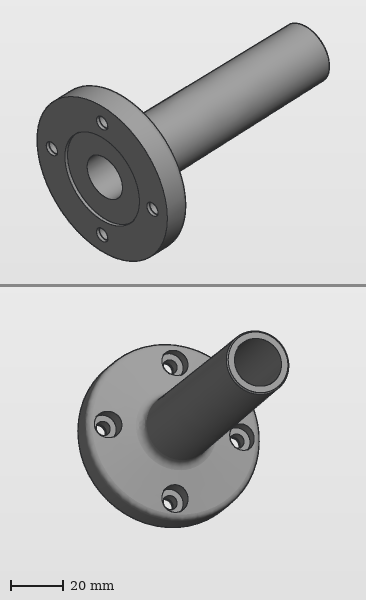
import cadquery as cq
import math

length = 111.5
flange_diameter = 70.0

rim_height = 9.0
rim_fillet = 2.5
cone_angle = 10.0

tube_base_diameter = 26.5
tube_tip_diameter = 25.2
root_fillet = 3.7
tip_chamfer = 0.6

bore_diameter = 19.0
recess_diameter = 40.0
recess_depth = 1.5

hole_count = 4
hole_diameter = 5.6
relief_diameter = 6.0
relief_depth = 1.5
counterbore_diameter = 10.5
counterbore_floor = 6.7
bolt_circle_diameter = 54.0

edge_tolerance = 0.01

flange_radius = flange_diameter / 2
tube_base_radius = tube_base_diameter / 2
tube_tip_radius = tube_tip_diameter / 2
cone_slope = math.tan(math.radians(cone_angle))

corner_height = rim_height + rim_fillet * math.tan(math.radians(90 - cone_angle) / 2)
cone_top_height = corner_height + (flange_radius - tube_base_radius) * cone_slope


def face_cylinder(diameter, depth):
    """Cylinder on the Y axis, starting at the mounting face."""
    return cq.Workplane("XZ").circle(diameter / 2).extrude(-depth)


def circle_at(height):
    """Selector for the circular edge at a given height above the mounting face."""
    low = (-length, height - edge_tolerance, -length)
    high = (length, height + edge_tolerance, length)
    return cq.selectors.BoxSelector(low, high, boundingbox=True)


def make_body():
    """Flange and tapered tube, revolved about the Y axis from the mounting face at Y = 0."""
    profile = (
        cq.Workplane("XY")
        .moveTo(0, 0)
        .lineTo(flange_radius, 0)
        .lineTo(flange_radius, corner_height)
        .lineTo(tube_base_radius, cone_top_height)
        .lineTo(tube_tip_radius, length)
        .lineTo(0, length)
        .close()
    )
    body = profile.revolve(360, (0, 0, 0), (0, 1, 0))
    body = body.edges(circle_at(corner_height)).fillet(rim_fillet)
    body = body.edges(circle_at(cone_top_height)).fillet(root_fillet)
    return body.edges(circle_at(length)).chamfer(tip_chamfer)


def hole_pattern(diameter, start, end):
    """Cylinders on the bolt circle, from height start to height end above the mounting face."""
    return (
        cq.Workplane("XZ", origin=(0, start, 0))
        .polarArray(bolt_circle_diameter / 2, 0, 360, hole_count)
        .circle(diameter / 2)
        .extrude(start - end)
    )


result = (
    make_body()
    .cut(face_cylinder(bore_diameter, length))
    .cut(face_cylinder(recess_diameter, recess_depth))
    .cut(hole_pattern(hole_diameter, 0, cone_top_height))
    .cut(hole_pattern(relief_diameter, 0, relief_depth))
    .cut(hole_pattern(counterbore_diameter, counterbore_floor, cone_top_height))
)